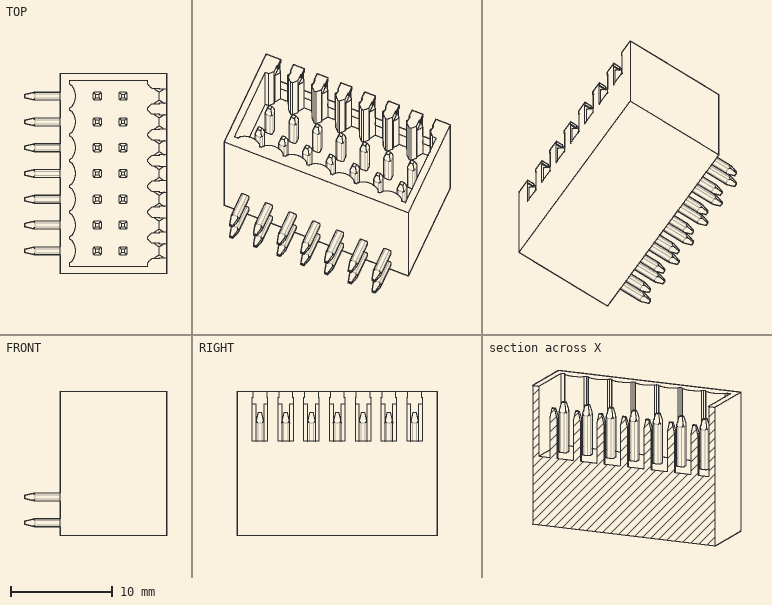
import cadquery as cq

body_length = 10.5
body_width = 19.74
body_height = 14.2
floor_height = 7.05
end_wall = 0.71

pin_rows = 7
end_row_margin = 2.25
pitch = (body_width - 2 * end_row_margin) / (pin_rows - 1)
row_centres = [(row - (pin_rows - 1) / 2) * pitch for row in range(pin_rows)]
pin_columns = (0, pitch)

pin_size = 0.8
pin_edge_radius = 0.2
pin_tip_size = 0.34
pin_point_length = 1.0
pin_embed = 0.4
tail_reach = 3.5
tail_first_height = 1.26
contact_first_x = 3.65
contact_top = 12.1

left_wall = 0.93
scallop_start = 1.15
scallop_crest = 1.5
scallop_half_chord = 1.03
valley_half_width = 0.1

finger_tip_x = 8.6
finger_shoulder_x = 9.02
finger_tip_half_width = 0.1
slot_width = 1.52
ledge_depth = 0.75
ledge_x = body_length - ledge_depth
ledge_height = 9.3

tab_width = 0.08
tab_height = 0.61
rib_base_half = 0.55
rib_depth = 0.38
rib_drop = 1.25

cavity_half_width = body_width / 2 - end_wall
cavity_depth = body_height - floor_height


def scallop_profile(wire, centre):
    """Continue the left cavity edge in +Y over the bump centred on one contact row."""
    valley = pitch / 2 - valley_half_width
    return (
        wire.lineTo(left_wall, centre - valley)
        .lineTo(scallop_start, centre - scallop_half_chord)
        .threePointArc((scallop_crest, centre), (scallop_start, centre + scallop_half_chord))
        .lineTo(left_wall, centre + valley)
    )


def slot_mouth(wire, centre):
    """Continue the right cavity edge in -Y through the flared mouth of one slot."""
    flare = pitch / 2 - finger_tip_half_width
    return (
        wire.lineTo(finger_tip_x, centre + flare)
        .lineTo(finger_shoulder_x, centre + slot_width / 2)
        .lineTo(ledge_x, centre + slot_width / 2)
        .lineTo(ledge_x, centre - slot_width / 2)
        .lineTo(finger_shoulder_x, centre - slot_width / 2)
        .lineTo(finger_tip_x, centre - flare)
    )


def cavity():
    """Open-topped space inside the walls, with a scalloped left edge and slots on the right."""
    wire = cq.Workplane("XY", origin=(0, 0, floor_height)).moveTo(left_wall, -cavity_half_width)
    for centre in row_centres:
        wire = scallop_profile(wire, centre)
    wire = wire.lineTo(left_wall, cavity_half_width).lineTo(finger_tip_x, cavity_half_width)
    for centre in reversed(row_centres):
        wire = slot_mouth(wire, centre)
    return wire.lineTo(finger_tip_x, -cavity_half_width).close().extrude(cavity_depth)


def slot_block(centre, width, bottom, top):
    """Block through the outer face on a slot's centre line, from the ledge front outwards."""
    block = cq.Workplane("XY").box(ledge_depth, width, top - bottom, centered=(False, True, False))
    return block.translate((ledge_x, centre, bottom))


def outer_slot(centre):
    """Opening through the outer face, above the ledge and narrowed between the tabs."""
    tab_bottom = body_height - tab_height
    opening = slot_block(centre, slot_width, ledge_height, tab_bottom)
    neck = slot_block(centre, slot_width - 2 * tab_width, tab_bottom, body_height)
    return opening.union(neck)


def slot_rib(centre, side):
    """Triangular rib standing on one side of a slot."""
    base_y = centre + side * slot_width / 2
    return (
        cq.Workplane("XY", origin=(0, 0, floor_height))
        .moveTo(ledge_x - rib_base_half, base_y)
        .lineTo(ledge_x, base_y - side * rib_depth)
        .lineTo(ledge_x + rib_base_half, base_y)
        .close()
        .extrude(cavity_depth - rib_drop)
    )


def pin(length):
    """Pin along +Z from the origin."""
    shank_length = length - pin_point_length
    bar = cq.Workplane("XY").rect(pin_size, pin_size).extrude(length).edges("|Z").fillet(pin_edge_radius)
    shank = cq.Workplane("XY").rect(pin_size, pin_size).extrude(shank_length)
    point = (
        cq.Workplane("XY", origin=(0, 0, shank_length))
        .rect(pin_size, pin_size)
        .workplane(offset=pin_point_length)
        .rect(pin_tip_size, pin_tip_size)
        .loft()
    )
    return bar.intersect(shank.union(point))


result = cq.Workplane("XY").box(body_length, body_width, body_height, centered=(False, True, False))
result = result.cut(cavity())
for centre in row_centres:
    result = result.cut(outer_slot(centre))
    for side in (-1, 1):
        result = result.union(slot_rib(centre, side))

contact = pin(contact_top - floor_height + pin_embed)
tail = pin(tail_reach + pin_embed).rotate((0, 0, 0), (0, 1, 0), -90)
for centre in row_centres:
    for offset in pin_columns:
        result = result.union(contact.translate((contact_first_x + offset, centre, floor_height - pin_embed)))
        result = result.union(tail.translate((pin_embed, centre, tail_first_height + offset)))